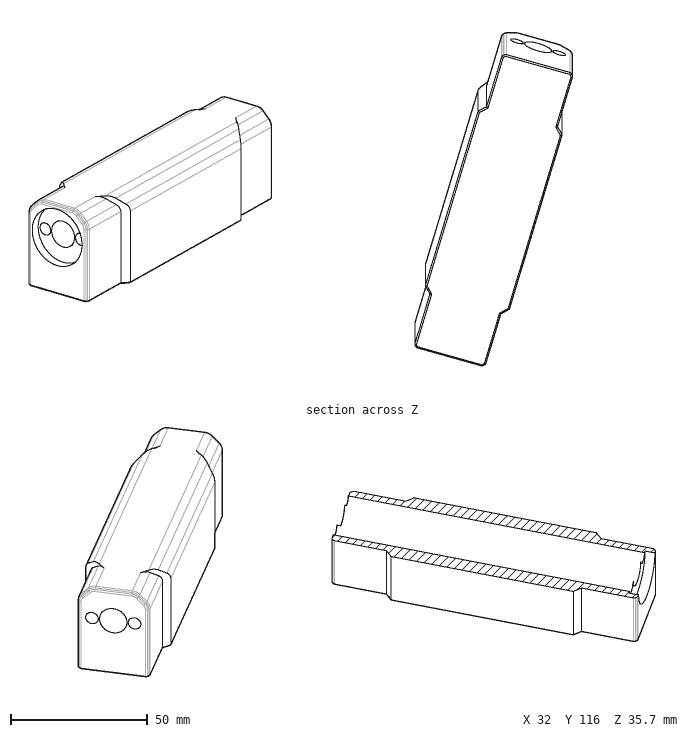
import cadquery as cq

LENGTH = 116.0
HEIGHT = 35.7
GRIP_WIDTH = 32.0
END_WIDTH = 27.0

GRIP_LENGTH = 69.0

SHOULDER = 5.0
SHOULDER_RADIUS = 4.1

END_CHAMFER = 1.0
END_RADIUS = 1.0
BASE_CHAMFER = 0.6

BORE_DROP = 13.0
BORE_DIAMETER = 10.3
SIDE_BORE_DIAMETER = 4.8
SIDE_BORE_OFFSET = 8.0
SEAT_DIAMETER = 22.5
SEAT_DEPTH = 3.7


def shouldered_bar(width):
    """Full-length bar standing on Z = 0 with rounded 45 degree shoulders on top."""
    bar = cq.Workplane("XY").box(width, LENGTH, HEIGHT, centered=(True, True, False))
    bar = bar.edges("|Y and >Z").chamfer(SHOULDER)
    return bar.edges("|Y and (not <Z)").fillet(SHOULDER_RADIUS)


def ease_ends(bar):
    """Chamfer the sides and top of both end faces, then round the chamfer's corners."""
    bar = bar.faces("<Y or >Y").edges("not <Z").chamfer(END_CHAMFER)
    inner_rims = bar.edges(">>Y[-3] or >>Y[2]")
    return bar.faces("<Y or >Y").edges("not <Z").add(inner_rims).fillet(END_RADIUS)


def grip_plan():
    """Prism whose pointed 45 degree ends trim a wide bar to the grip stretch."""
    half_width = GRIP_WIDTH / 2
    half_length = GRIP_LENGTH / 2
    tip = half_length + half_width
    outline = [
        (half_width, -half_length),
        (half_width, half_length),
        (0, tip),
        (-half_width, half_length),
        (-half_width, -half_length),
        (0, -tip),
    ]
    return cq.Workplane("XY").polyline(outline).close().extrude(HEIGHT)


def bore(x, diameter, depth):
    """Cylinder running in +Y from the -Y end at the height of the bore axes."""
    return (
        cq.Workplane("XZ", origin=(x, -LENGTH / 2, HEIGHT - BORE_DROP))
        .circle(diameter / 2)
        .extrude(-depth)
    )


end_bar = ease_ends(shouldered_bar(END_WIDTH))
grip = shouldered_bar(GRIP_WIDTH).intersect(grip_plan())
body = end_bar.union(grip)
body = body.faces("<Z").edges().chamfer(BASE_CHAMFER)

body = body.cut(bore(0, BORE_DIAMETER, LENGTH))
for side in (-1, 1):
    body = body.cut(bore(side * SIDE_BORE_OFFSET, SIDE_BORE_DIAMETER, LENGTH))
body = body.cut(bore(0, SEAT_DIAMETER, SEAT_DEPTH))

result = body